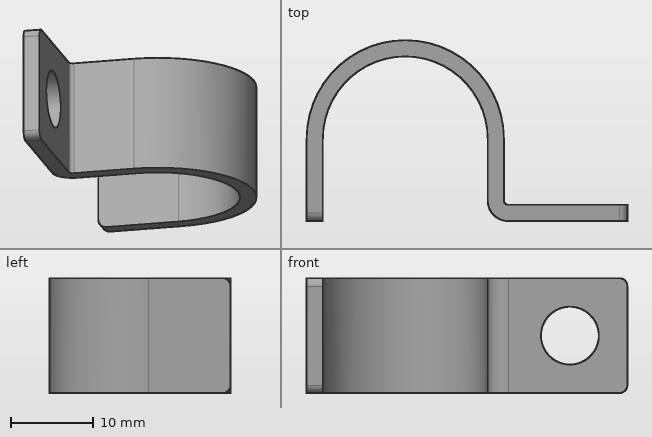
import cadquery as cq
import math

thickness = 2.0
width = 14.0
inner_radius = 10.0
leg_length = 10.0
overall_length = 39.0
bend_inner_radius = 0.5
corner_radius = 1.0
hole_diameter = 7.0
hole_edge_distance = 7.0

outer_radius = inner_radius + thickness
bend_outer_radius = bend_inner_radius + thickness
base_y = -leg_length
tab_top_y = base_y + thickness
tab_end_x = overall_length - outer_radius
bend_x = inner_radius + bend_outer_radius
bend_y = base_y + bend_outer_radius
hole_x = tab_end_x - hole_edge_distance


def bend_point(radius):
    """Midpoint of a bend arc of the given radius between leg and tab."""
    offset = radius * math.cos(math.radians(45))
    return (bend_x - offset, bend_y - offset)


def make_strip():
    """Bent strip: free leg, half-round saddle, second leg, bend and tab."""
    return (
        cq.Workplane("XY")
        .moveTo(-outer_radius, base_y)
        .lineTo(-outer_radius, 0)
        .threePointArc((0, outer_radius), (outer_radius, 0))
        .lineTo(outer_radius, bend_y)
        .threePointArc(bend_point(bend_inner_radius), (bend_x, tab_top_y))
        .lineTo(tab_end_x, tab_top_y)
        .lineTo(tab_end_x, base_y)
        .lineTo(bend_x, base_y)
        .threePointArc(bend_point(bend_outer_radius), (inner_radius, bend_y))
        .lineTo(inner_radius, 0)
        .threePointArc((0, inner_radius), (-inner_radius, 0))
        .lineTo(-inner_radius, base_y)
        .close()
        .extrude(width / 2, both=True)
    )


def round_end_corners(strip):
    """Round the two corners at the tab end and at the free leg end."""
    strip = strip.faces(">X").edges("|Y").fillet(corner_radius)
    free_end = strip.faces("<Y").faces("<X")
    return free_end.edges("|X").fillet(corner_radius)


def make_screw_hole():
    """Cylinder cutting through the tab along Y, at mid width."""
    return (
        cq.Workplane("XZ", origin=(hole_x, tab_top_y, 0))
        .circle(hole_diameter / 2)
        .extrude(thickness)
    )


result = round_end_corners(make_strip()).cut(make_screw_hole())